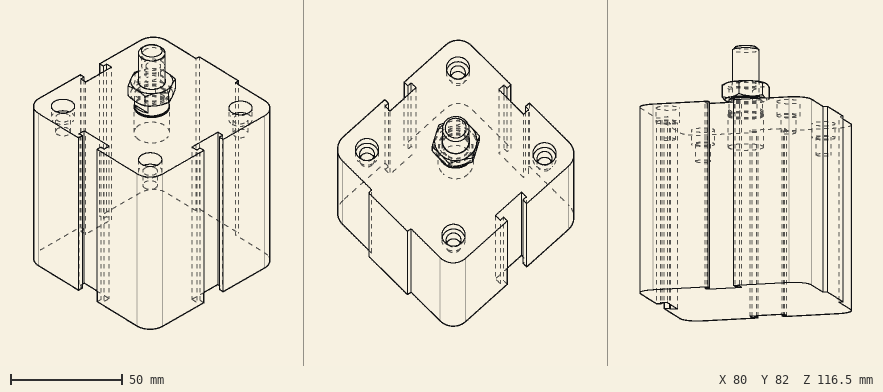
import cadquery as cq
import math

WIDTH = 80.0
HOUSING_HEIGHT = 85.0
CORNER_RADIUS = 8.2

RAIL_HEIGHT = 2.0
RAIL_BASE_WIDTH = 25.9
RAIL_TOP_WIDTH = 25.2

SLOT_MOUTH_WIDTH = 12.0
SLOT_INNER_WIDTH = 16.2
SLOT_LIP_DEPTH = 2.5
SLOT_DEPTH = 5.6
SLOT_ANGLES = (-90, 0, 180)

HOLE_SPACING = 56.5
COUNTERBORE_DIAMETER = 10.5
COUNTERBORE_DEPTH = 6.4
SCREW_HOLE_DIAMETER = 6.6
SCREW_HOLE_DEPTH = 14.2

OVERALL_HEIGHT = 116.5
ROD_DIAMETER = 16.0
ROD_SEAT_DEPTH = SCREW_HOLE_DEPTH
ROD_EXPOSED_HEIGHT = 0.5
NECK_DIAMETER = 15.6
NECK_TAPER_HEIGHT = 0.3
NECK_CHAMFER = 0.5
STUD_DIAMETER = 12.0
STUD_LENGTH = 24.0
STUD_CHAMFER = 1.3
FLAT_SPACING = 13.0
FLAT_BOTTOM = HOUSING_HEIGHT + 2.3
SHOULDER_Z = OVERALL_HEIGHT - STUD_LENGTH

NUT_WIDTH = 19.0
NUT_HEIGHT = 7.0
NUT_FACE_DIAMETER = 19.0
NUT_CHAMFER_ANGLE = 30
NUT_COUNTERSINK = 0.2


def make_slot(angle):
    """T-slot cutter over the full height, in the side that faces the given direction."""
    mouth = cq.Workplane("XY").box(
        SLOT_LIP_DEPTH, SLOT_MOUTH_WIDTH, HOUSING_HEIGHT, centered=(False, True, False)
    ).translate((WIDTH / 2 - SLOT_LIP_DEPTH, 0, 0))
    groove = cq.Workplane("XY").box(
        SLOT_DEPTH - SLOT_LIP_DEPTH, SLOT_INNER_WIDTH, HOUSING_HEIGHT, centered=(False, True, False)
    ).translate((WIDTH / 2 - SLOT_DEPTH, 0, 0))
    return mouth.union(groove).rotate((0, 0, 0), (0, 0, 1), angle)


def make_housing():
    block = (
        cq.Workplane("XY")
        .rect(WIDTH, WIDTH)
        .extrude(HOUSING_HEIGHT)
        .edges("|Z")
        .fillet(CORNER_RADIUS)
    )
    side = WIDTH / 2
    rail = (
        cq.Workplane("XY")
        .polyline([
            (-RAIL_BASE_WIDTH / 2, side),
            (RAIL_BASE_WIDTH / 2, side),
            (RAIL_TOP_WIDTH / 2, side + RAIL_HEIGHT),
            (-RAIL_TOP_WIDTH / 2, side + RAIL_HEIGHT),
        ])
        .close()
        .extrude(HOUSING_HEIGHT)
    )
    housing = block.union(rail, clean=False)
    for angle in SLOT_ANGLES:
        housing = housing.cut(make_slot(angle))

    housing = (
        housing.faces(">Z")
        .workplane(origin=(0, 0, HOUSING_HEIGHT))
        .rect(HOLE_SPACING, HOLE_SPACING, forConstruction=True)
        .vertices()
        .cboreHole(SCREW_HOLE_DIAMETER, COUNTERBORE_DIAMETER, COUNTERBORE_DEPTH, SCREW_HOLE_DEPTH)
    )
    rod_seat = (
        cq.Workplane("XY", origin=(0, 0, HOUSING_HEIGHT - ROD_SEAT_DEPTH))
        .circle(ROD_DIAMETER / 2)
        .extrude(ROD_SEAT_DEPTH)
    )
    return housing.cut(rod_seat)


def make_rod():
    """Stepped rod with a narrower neck, two spanner flats and a chamfered stud."""
    rod_radius = ROD_DIAMETER / 2
    neck_radius = NECK_DIAMETER / 2
    stud_radius = STUD_DIAMETER / 2
    seat_z = HOUSING_HEIGHT - ROD_SEAT_DEPTH
    taper_z = HOUSING_HEIGHT + ROD_EXPOSED_HEIGHT
    rod = (
        cq.Workplane("XZ")
        .polyline([
            (0, seat_z),
            (rod_radius, seat_z),
            (rod_radius, taper_z),
            (neck_radius, taper_z + NECK_TAPER_HEIGHT),
            (neck_radius, SHOULDER_Z - NECK_CHAMFER),
            (neck_radius - NECK_CHAMFER, SHOULDER_Z),
            (stud_radius, SHOULDER_Z),
            (stud_radius, OVERALL_HEIGHT - STUD_CHAMFER),
            (stud_radius - STUD_CHAMFER, OVERALL_HEIGHT),
            (0, OVERALL_HEIGHT),
        ])
        .close()
        .revolve(360, (0, 0), (0, 1))
    )
    for side in (-1, 1):
        flat_cutter = cq.Workplane("XY").box(
            ROD_DIAMETER, ROD_DIAMETER, SHOULDER_Z - FLAT_BOTTOM, centered=(True, True, False)
        ).translate((0, side * (FLAT_SPACING + ROD_DIAMETER) / 2, FLAT_BOTTOM))
        rod = rod.cut(flat_cutter)
    return rod


def make_nut():
    """Hexagon nut with chamfered corners at both ends, seated on the rod shoulder."""
    corner_radius = NUT_WIDTH / math.sqrt(3)
    face_radius = NUT_FACE_DIAMETER / 2
    chamfer_height = (corner_radius - face_radius) * math.tan(math.radians(NUT_CHAMFER_ANGLE))
    hexagon = cq.Workplane("XY").polygon(6, 2 * corner_radius).extrude(NUT_HEIGHT)
    envelope = (
        cq.Workplane("XZ")
        .polyline([
            (0, 0),
            (face_radius, 0),
            (corner_radius, chamfer_height),
            (corner_radius, NUT_HEIGHT - chamfer_height),
            (face_radius, NUT_HEIGHT),
            (0, NUT_HEIGHT),
        ])
        .close()
        .revolve(360, (0, 0), (0, 1))
    )
    bore_radius = STUD_DIAMETER / 2
    countersink_radius = bore_radius + NUT_COUNTERSINK
    bore = (
        cq.Workplane("XZ")
        .polyline([
            (0, 0),
            (countersink_radius, 0),
            (bore_radius, NUT_COUNTERSINK),
            (bore_radius, NUT_HEIGHT - NUT_COUNTERSINK),
            (countersink_radius, NUT_HEIGHT),
            (0, NUT_HEIGHT),
        ])
        .close()
        .revolve(360, (0, 0), (0, 1))
    )
    return hexagon.intersect(envelope).cut(bore).translate((0, 0, SHOULDER_Z))


housing = make_housing()
rod = make_rod()
nut = make_nut()
result = cq.Compound.makeCompound([housing.val(), rod.val(), nut.val()])